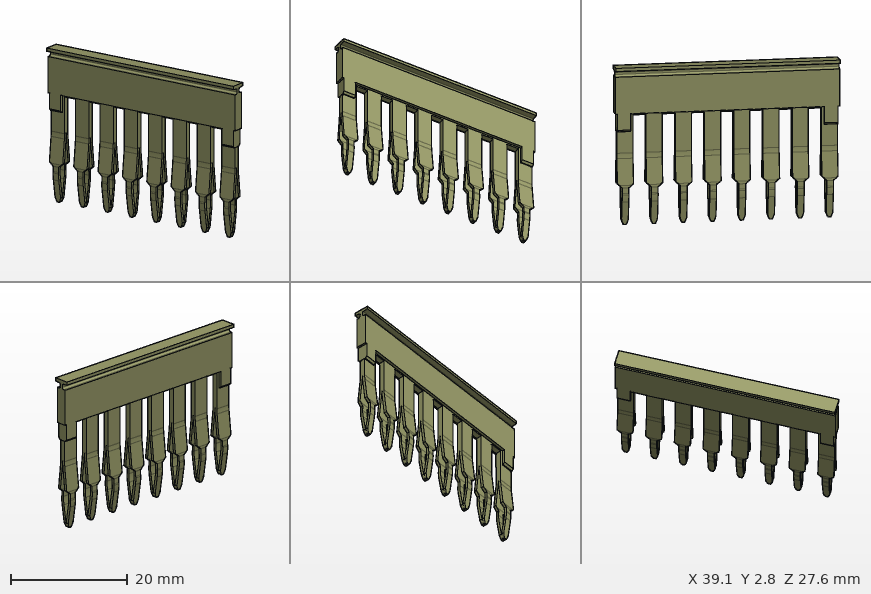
import cadquery as cq
import math


HOUSING_LENGTH = 39.1
FLANGE_WIDTH = 2.8
FLANGE_EDGE_DEPTH = 0.6
FLANGE_ROOT_WIDTH = 0.95
FLANGE_ROOT_DEPTH = 0.7
WEB_WIDTH = 0.6
WEB_TOP_DEPTH = 0.95
WEB_BOTTOM_DEPTH = 1.3
SHELF_DEPTH = 1.65
BODY_WIDTH = 2.0
BODY_BOTTOM_DEPTH = 8.15
TAB_WIDTH = 2.35
TAB_BOTTOM_DEPTH = 11.3
TAB_CHAMFER = 0.35
TAB_END_WALL = 0.25

PRONG_COUNT = 8
PRONG_ROW_SPAN = 35.65
PRONG_WIDTH = 2.8
COMB_START = 0.3
COMB_THICKNESS = 1.0
BAR_TOP_DEPTH = 3.75
BAR_BOTTOM_DEPTH = 8.45

SHOULDER_TOP_DEPTH = 20.37
SHOULDER_BOTTOM_DEPTH = 21.07
NECK_WIDTH = 1.17
TAPER_TOP_DEPTH = 26.7
TIP_CHAMFER_DEPTH = 27.37
TIP_CHAMFER_WIDTH = 0.7
TIP_WIDTH = 0.45
TIP_DEPTH = 27.6

BLADE_THICKNESS = COMB_THICKNESS / 2
SPREAD_START_DEPTH = 15.05
SPREAD_END_DEPTH = 16.0
SPREAD_ANGLE = 6.3
BULGE_TOP_DEPTH = 20.6
BULGE_STRAIGHT_DEPTH = 21.07
STEP_TOP_DEPTH = 22.0
STEP_BOTTOM_DEPTH = 22.25
STEP_HEIGHT = 0.05
CLOSING_START_DEPTH = 23.55
CLOSING_ANGLE = 9.0

PRONG_PITCH = PRONG_ROW_SPAN / (PRONG_COUNT - 1)
COMB_END = COMB_START + PRONG_ROW_SPAN + PRONG_WIDTH


def block(x_start, x_end, width, top_depth, bottom_depth):
    """Block centred on Y = 0 between two X positions and two depths."""
    corner = cq.Vector(x_start, -width / 2, -bottom_depth)
    solid = cq.Solid.makeBox(x_end - x_start, width, bottom_depth - top_depth, corner)
    return cq.Workplane(solid)


def slope_travel(height, angle):
    """Sideways travel of a straight stretch leaning at an angle."""
    return height * math.tan(math.radians(angle))


def bend_travel(height, angle):
    """Sideways travel of an arc that turns from vertical to an angle."""
    return height * math.tan(math.radians(angle / 2))


def half_prong_profile():
    """Prong for Y > 0: solid shank, then one blade that spreads, runs straight and closes."""
    shank_y = COMB_THICKNESS / 2

    spread_y = shank_y + bend_travel(SPREAD_END_DEPTH - SPREAD_START_DEPTH, SPREAD_ANGLE)
    bulge_y = spread_y + slope_travel(BULGE_TOP_DEPTH - SPREAD_END_DEPTH, SPREAD_ANGLE)
    straight_y = bulge_y + bend_travel(BULGE_STRAIGHT_DEPTH - BULGE_TOP_DEPTH, SPREAD_ANGLE)
    step_y = straight_y + STEP_HEIGHT
    closing_y = step_y - bend_travel(CLOSING_START_DEPTH - STEP_BOTTOM_DEPTH, CLOSING_ANGLE)
    tip_y = closing_y - slope_travel(TIP_DEPTH - CLOSING_START_DEPTH, CLOSING_ANGLE)

    inner_closing_y = closing_y - BLADE_THICKNESS
    inner_widest_y = inner_closing_y + bend_travel(CLOSING_START_DEPTH - STEP_TOP_DEPTH, CLOSING_ANGLE)

    tip_angle = math.radians(CLOSING_ANGLE)
    tip_inner_y = tip_y - BLADE_THICKNESS * math.cos(tip_angle)
    tip_inner_depth = TIP_DEPTH - BLADE_THICKNESS * math.sin(tip_angle)

    return (
        cq.Workplane("YZ")
        .moveTo(0, -BAR_TOP_DEPTH)
        .lineTo(0, -SPREAD_START_DEPTH)
        .tangentArcPoint((spread_y - BLADE_THICKNESS, -SPREAD_END_DEPTH), relative=False)
        .lineTo(bulge_y - BLADE_THICKNESS, -BULGE_TOP_DEPTH)
        .tangentArcPoint((inner_widest_y, -STEP_TOP_DEPTH), relative=False)
        .tangentArcPoint((inner_closing_y, -CLOSING_START_DEPTH), relative=False)
        .lineTo(tip_inner_y, -tip_inner_depth)
        .lineTo(tip_y, -TIP_DEPTH)
        .lineTo(closing_y, -CLOSING_START_DEPTH)
        .tangentArcPoint((step_y, -STEP_BOTTOM_DEPTH), relative=False)
        .lineTo(straight_y, -STEP_TOP_DEPTH)
        .lineTo(straight_y, -BULGE_STRAIGHT_DEPTH)
        .tangentArcPoint((bulge_y, -BULGE_TOP_DEPTH), relative=False)
        .lineTo(spread_y, -SPREAD_END_DEPTH)
        .tangentArcPoint((shank_y, -SPREAD_START_DEPTH), relative=False)
        .lineTo(shank_y, -BAR_TOP_DEPTH)
        .close()
    )


def prong_outline():
    """Shank with shoulders down to a narrow neck and a tapered tip, centred on X = 0."""
    right_side = [
        (PRONG_WIDTH / 2, -BAR_TOP_DEPTH),
        (PRONG_WIDTH / 2, -SHOULDER_TOP_DEPTH),
        (NECK_WIDTH / 2, -SHOULDER_BOTTOM_DEPTH),
        (NECK_WIDTH / 2, -TAPER_TOP_DEPTH),
        (TIP_CHAMFER_WIDTH / 2, -TIP_CHAMFER_DEPTH),
        (TIP_WIDTH / 2, -TIP_DEPTH),
    ]
    left_side = [(-x, z) for x, z in reversed(right_side)]
    return cq.Workplane("XZ").polyline(right_side + left_side).close()


def make_prong():
    """One prong, centred on X = 0, reaching up to the top of the bar."""
    half = half_prong_profile().extrude(PRONG_WIDTH / 2, both=True)
    both_blades = half.union(half.mirror("XZ"))
    return both_blades.intersect(prong_outline().extrude(FLANGE_WIDTH / 2, both=True))


def make_comb():
    """Bar with its row of prongs, notched at both ends to leave room for the housing's end walls."""
    comb = block(COMB_START, COMB_END, COMB_THICKNESS, BAR_TOP_DEPTH, BAR_BOTTOM_DEPTH)
    prong = make_prong()
    for index in range(PRONG_COUNT):
        center_x = COMB_START + PRONG_WIDTH / 2 + index * PRONG_PITCH
        comb = comb.union(prong.translate((center_x, 0, 0)))
    for notch_start in (COMB_START, COMB_END - TAB_END_WALL):
        notch_end = notch_start + TAB_END_WALL
        comb = comb.cut(block(notch_start, notch_end, COMB_THICKNESS, BAR_TOP_DEPTH, TAB_BOTTOM_DEPTH))
    return comb


def make_strip():
    """T-shaped flange on a grooved body, as one profile extruded along X."""
    shelf_inner_y = WEB_WIDTH / 2 + SHELF_DEPTH - WEB_BOTTOM_DEPTH
    half = (
        cq.Workplane("YZ")
        .lineTo(FLANGE_WIDTH / 2, 0)
        .lineTo(FLANGE_WIDTH / 2, -FLANGE_EDGE_DEPTH)
        .lineTo(FLANGE_ROOT_WIDTH / 2, -FLANGE_ROOT_DEPTH)
        .tangentArcPoint((WEB_WIDTH / 2, -WEB_TOP_DEPTH), relative=False)
        .lineTo(WEB_WIDTH / 2, -WEB_BOTTOM_DEPTH)
        .tangentArcPoint((shelf_inner_y, -SHELF_DEPTH), relative=False)
        .lineTo(BODY_WIDTH / 2, -SHELF_DEPTH)
        .lineTo(BODY_WIDTH / 2, -BODY_BOTTOM_DEPTH)
        .lineTo(0, -BODY_BOTTOM_DEPTH)
        .close()
        .extrude(HOUSING_LENGTH)
    )
    return half.union(half.mirror("XZ"))


def make_tab(x_start):
    """Tab that wraps the top of an end prong, chamfered along its two lower edges."""
    tab = block(x_start, x_start + TAB_WIDTH, BODY_WIDTH, SHELF_DEPTH, TAB_BOTTOM_DEPTH)
    return tab.faces("<Z").edges("|X").chamfer(TAB_CHAMFER)


def make_housing(comb):
    """Strip with a tab at each end and a pocket that fits the comb."""
    housing = make_strip()
    for x_start in (COMB_START, COMB_END - TAB_WIDTH):
        housing = housing.union(make_tab(x_start))
    return housing.cut(comb)


comb = make_comb()
housing = make_housing(comb)
result = cq.Compound.makeCompound([housing.solids().val(), comb.solids().val()])